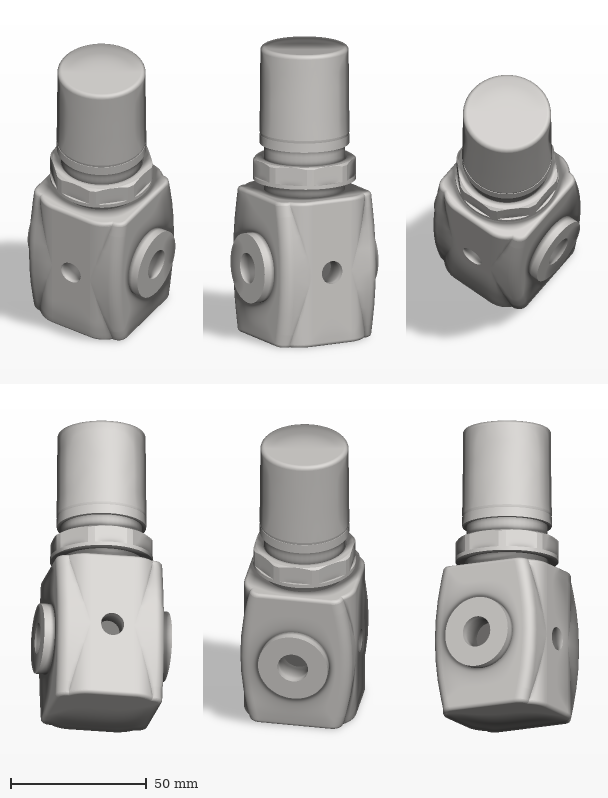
import cadquery as cq
import math


housing_height = 54.9
housing_width = 40.0
housing_depth = 42.0
barrel_radius = 100.0
barrel_corner_radius = 3.8
end_band = 5.0
core_flat_width = 16.5
core_corner_radius = 10.0
end_edge_radius = 1.3
mid_height = housing_height / 2

port_span = 48.0
port_boss_diameter = 26.0
port_diameter = 11.4
port_depth = 10.9
gauge_port_diameter = 8.6
gauge_port_depth = 8.7

neck_diameter = 30.0
collar_diameter = 33.0
collar_bottom = 72.4
collar_top = 75.9
knob_bottom = 76.8
knob_top = 109.0
knob_bottom_diameter = 33.1
knob_top_diameter = 32.5
knob_foot_diameter = 32.7
knob_edge_radius = 1.5

nut_bottom = 59.0
nut_flange_thickness = 1.4
nut_top = 67.0
nut_sides = 8
nut_across_flats = 36.1
nut_diameter = 38.0
nut_top_face_diameter = 36.0
nut_chamfer_height = 0.7
nut_countersink_diameter = 31.0


def make_core():
    """Upright block with broadly rounded corners and a flat strip front and back."""
    width = core_flat_width + 2 * core_corner_radius
    return (
        cq.Workplane("XY")
        .rect(width, housing_depth)
        .extrude(housing_height)
        .edges("|Z")
        .fillet(core_corner_radius)
        .faces("<Z or >Z")
        .edges()
        .fillet(end_edge_radius)
    )


def make_barrel():
    """Block between the port faces, bulging in Y towards mid height."""
    apex = housing_depth / 2
    arc_half_height = mid_height - end_band
    arc_angle = math.asin(arc_half_height / barrel_radius)
    arc_end = apex - barrel_radius * (1 - math.cos(arc_angle))
    end = arc_end - end_band * math.tan(arc_angle)
    return (
        cq.Workplane("YZ", origin=(-housing_width / 2, 0, 0))
        .moveTo(-end, 0)
        .lineTo(end, 0)
        .lineTo(arc_end, end_band)
        .threePointArc((apex, mid_height), (arc_end, housing_height - end_band))
        .lineTo(end, housing_height)
        .lineTo(-end, housing_height)
        .lineTo(-arc_end, housing_height - end_band)
        .threePointArc((-apex, mid_height), (-arc_end, end_band))
        .close()
        .extrude(housing_width)
        .faces("<X or >X")
        .edges("not |Y")
        .fillet(barrel_corner_radius)
        .faces("<Z or >Z")
        .edges()
        .fillet(end_edge_radius)
    )


def make_neck_and_knob():
    """Neck, collar and slightly tapered knob, turned about Z and rooted in the housing."""
    neck_radius = neck_diameter / 2
    collar_radius = collar_diameter / 2
    knob = (
        cq.Workplane("XZ")
        .moveTo(0, mid_height)
        .lineTo(neck_radius, mid_height)
        .lineTo(neck_radius, collar_bottom)
        .lineTo(collar_radius, collar_bottom)
        .lineTo(collar_radius, collar_top)
        .lineTo(knob_foot_diameter / 2, collar_top)
        .lineTo(knob_bottom_diameter / 2, knob_bottom)
        .lineTo(knob_top_diameter / 2, knob_top)
        .lineTo(0, knob_top)
        .close()
        .revolve(360, (0, 0, 0), (0, 1, 0))
    )
    return knob.faces(">Z").edges().fillet(knob_edge_radius)


def port_cylinder(direction, face_distance, diameter, depth):
    """Cylinder running inwards from a side face towards the Z axis."""
    start = direction * face_distance + cq.Vector(0, 0, mid_height)
    return cq.Workplane(cq.Solid.makeCylinder(diameter / 2, depth, start, direction * -1))


def make_housing():
    housing = make_core().union(make_barrel()).union(make_neck_and_knob())
    for side in (-1, 1):
        along_x = cq.Vector(side, 0, 0)
        along_y = cq.Vector(0, side, 0)
        boss = port_cylinder(along_x, port_span / 2, port_boss_diameter, port_depth)
        port = port_cylinder(along_x, port_span / 2, port_diameter, port_depth)
        gauge_port = port_cylinder(along_y, housing_depth / 2, gauge_port_diameter, gauge_port_depth)
        housing = housing.union(boss).cut(port).cut(gauge_port)
    return housing


def make_nut():
    """Octagonal nut with a round flange, its corners turned down to the flange diameter."""
    flange_top = nut_bottom + nut_flange_thickness
    outer_radius = nut_diameter / 2
    bore_radius = neck_diameter / 2
    countersink_radius = nut_countersink_diameter / 2
    countersink_depth = countersink_radius - bore_radius
    turned = (
        cq.Workplane("XZ")
        .moveTo(bore_radius, nut_bottom + countersink_depth)
        .lineTo(countersink_radius, nut_bottom)
        .lineTo(outer_radius, nut_bottom)
        .lineTo(outer_radius, nut_top - nut_chamfer_height)
        .lineTo(nut_top_face_diameter / 2, nut_top)
        .lineTo(countersink_radius, nut_top)
        .lineTo(bore_radius, nut_top - countersink_depth)
        .close()
        .revolve(360, (0, 0, 0), (0, 1, 0))
    )
    flange_envelope = (
        cq.Workplane("XY", origin=(0, 0, nut_bottom))
        .circle(nut_diameter)
        .extrude(nut_flange_thickness)
    )
    half_side_angle = 180 / nut_sides
    corner_diameter = nut_across_flats / math.cos(math.radians(half_side_angle))
    octagon = (
        cq.Workplane("XY", origin=(0, 0, flange_top))
        .transformed(rotate=(0, 0, half_side_angle))
        .polygon(nut_sides, corner_diameter)
        .extrude(nut_top - flange_top)
    )
    return turned.intersect(flange_envelope.union(octagon))


housing = make_housing()
nut = make_nut()
result = cq.Compound.makeCompound([housing.val(), nut.val()])